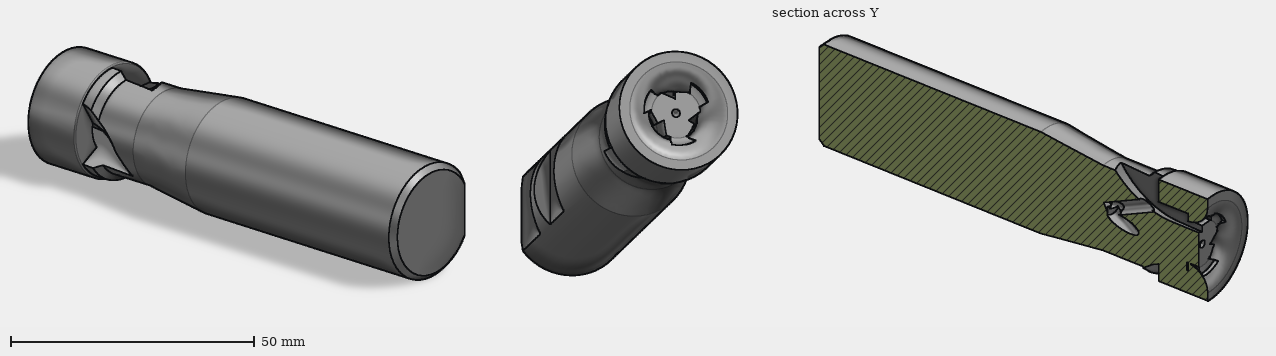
import math

import cadquery as cq


length = 100.02
shank_radius = 12.5
shank_start = 43.0
end_chamfer = 1.25
flat_offset = 9.75
front_flat = (61.7, 74.0)
rear_flat_start = 82.9

neck_radius = 10.5
neck_end = 26.95
collar_radius = 12.0
collar_end = 15.4

head_length = 12.75
head_radius = 12.5
head_round = 0.3
mouth_radius = 10.35
core_radius = 7.0
face_radius = 5.2
face_depth = 2.3
core_start = 1.0
land_edge_depth = 2.2
centre_mark_radius = 0.85

flute_count = 3
flute_turns = [360 / flute_count * index for index in range(flute_count)]
flute_corner_y = 4.8
flute_corner_z = 4.8
flute_floor_tilt = 21.0
flute_shelf_tilt = 1.5
runout_start = 9.0
runout_radius = 20.0
flute_end = 24.85
wall_rake = 5.2
wall_y = -0.83

notch_z = 4.5
notch_y = -3.0
notch_depth = 3.0

cover_corner_y = 3.35
cover_corner_z = 3.2
land_edge_angle = 30.0

outlet_radius = 1.5
outlet_x = 16.2
outlet_y = 1.0
outlet_floor_z = 4.6
outlet_angle = 25.0
outlet_overrun = 1.5

clearance = 20.0


def revolve_about_axis(outline):
    """Close an outline drawn as X and radius and turn it about the tool axis."""
    return outline.close().revolve(360, (0, 0, 0), (1, 0, 0))


def make_body():
    """Shank, neck, collar and core, turned about the tool axis."""
    neck_start = collar_end + collar_radius - neck_radius
    outline = (
        cq.Workplane("XY")
        .moveTo(core_start, 0)
        .lineTo(core_start, core_radius)
        .lineTo(head_length, core_radius)
        .lineTo(head_length, collar_radius)
        .lineTo(collar_end, collar_radius)
        .lineTo(neck_start, neck_radius)
        .lineTo(neck_end, neck_radius)
        .lineTo(shank_start, shank_radius)
        .lineTo(length - end_chamfer, shank_radius)
        .lineTo(length, shank_radius - end_chamfer)
        .lineTo(length, 0)
    )
    return revolve_about_axis(outline)


def make_head_ring():
    """Ring around the core, its mouth rounded by a quarter circle."""
    mouth_round = mouth_radius - face_radius
    outline = (
        cq.Workplane("XY")
        .moveTo(0, mouth_radius)
        .lineTo(0, head_radius)
        .lineTo(head_length - head_round, head_radius)
        .radiusArc((head_length, head_radius - head_round), head_round)
        .lineTo(head_length, core_radius)
        .lineTo(mouth_round, core_radius)
        .lineTo(mouth_round, face_radius)
        .radiusArc((0, mouth_radius), mouth_round)
    )
    return revolve_about_axis(outline)


def make_space_above(tilt):
    """Space above the curved flute floor, tilted about the crease line."""
    run = flute_end - runout_start
    rise = runout_radius - math.sqrt(runout_radius**2 - run**2)
    profile = (
        cq.Workplane("XZ", origin=(0, flute_corner_y, flute_corner_z))
        .moveTo(-clearance, 0)
        .lineTo(runout_start, 0)
        .radiusArc((flute_end, rise), -runout_radius)
        .lineTo(flute_end, clearance)
        .lineTo(-clearance, clearance)
        .close()
    )
    space = profile.extrude(clearance, both=True)
    crease_start = (0, flute_corner_y, flute_corner_z)
    crease_end = (1, flute_corner_y, flute_corner_z)
    return space.rotate(crease_start, crease_end, tilt)


def make_flute():
    """Flute with a straight raked wall, its floor curving out of the neck."""
    floor = make_space_above(flute_floor_tilt)
    shelf = make_space_above(flute_shelf_tilt)
    size = 4 * clearance
    wall_side = (
        cq.Workplane("XY")
        .box(size, size, size, centered=(True, False, True))
        .rotate((0, 0, 0), (0, 0, 1), -wall_rake)
        .translate((head_length, wall_y, 0))
    )
    return floor.union(shelf).intersect(wall_side)


def make_notch():
    """Flat-floored notch from the flute across to the far side of its wall."""
    reach_x = face_depth + notch_depth
    width = flute_corner_y - notch_y
    notch = cq.Workplane("XY").box(reach_x, width, clearance, centered=False)
    return notch.translate((0, notch_y, notch_z))


def make_cover():
    """Sector around the core where the ring, not a land, borders the face."""
    reach_x = face_depth + notch_depth
    core = cq.Workplane("YZ").circle(face_radius).extrude(reach_x)
    edge_angle = math.radians(land_edge_angle)
    reach_y = cover_corner_y + clearance * math.cos(edge_angle)
    reach_z = cover_corner_z + clearance * math.sin(edge_angle)
    sector = (
        cq.Workplane("YZ")
        .moveTo(notch_y, cover_corner_z)
        .lineTo(cover_corner_y, cover_corner_z)
        .lineTo(reach_y, reach_z)
        .lineTo(notch_y, reach_z)
        .close()
        .extrude(reach_x)
    )
    return sector.cut(core)


def make_outlet():
    """Blind coolant hole sloping from the flute floor down to the core."""
    angle = math.radians(outlet_angle)
    direction = cq.Vector(math.cos(angle), 0, -math.sin(angle))
    entry = cq.Vector(outlet_x, outlet_y, outlet_floor_z)
    depth = outlet_floor_z / math.sin(angle)
    start = entry - direction * outlet_overrun
    hole = cq.Solid.makeCylinder(outlet_radius, depth + outlet_overrun, start, direction)
    return cq.Workplane(hole)


def cut_flutes(body):
    """Cut the flutes, their seat notches and their coolant outlets."""
    cutter = make_flute().union(make_notch()).union(make_cover())
    outlet = make_outlet()
    for turn in flute_turns:
        body = body.cut(cutter.rotate((0, 0, 0), (1, 0, 0), turn))
        body = body.cut(outlet.rotate((0, 0, 0), (1, 0, 0), turn))
    return body


def make_land_recess():
    """Space in front of the core face and of the three lands around it."""
    outline = (
        cq.Workplane("XY")
        .lineTo(face_depth + centre_mark_radius, 0)
        .lineTo(face_depth, centre_mark_radius)
        .lineTo(face_depth, face_radius)
        .lineTo(land_edge_depth, core_radius)
        .lineTo(0, core_radius)
    )
    recess = revolve_about_axis(outline)
    cover = make_cover()
    for turn in flute_turns:
        recess = recess.cut(cover.rotate((0, 0, 0), (1, 0, 0), turn))
    return recess


def make_clamping_flats():
    """Two flats on the +Y side, with 45 degree walls."""
    flat_start, flat_end = front_flat
    front = (
        cq.Workplane("XY")
        .moveTo(flat_start, flat_offset)
        .lineTo(flat_end, flat_offset)
        .lineTo(flat_end + clearance, flat_offset + clearance)
        .lineTo(flat_start - clearance, flat_offset + clearance)
        .close()
        .extrude(clearance, both=True)
    )
    rear = (
        cq.Workplane("XY")
        .moveTo(rear_flat_start, flat_offset)
        .lineTo(length + clearance, flat_offset)
        .lineTo(length + clearance, flat_offset + clearance)
        .lineTo(rear_flat_start - clearance, flat_offset + clearance)
        .close()
        .extrude(clearance, both=True)
    )
    return front, rear


result = cut_flutes(make_body()).union(make_head_ring())
result = result.cut(make_land_recess())
for flat in make_clamping_flats():
    result = result.cut(flat)